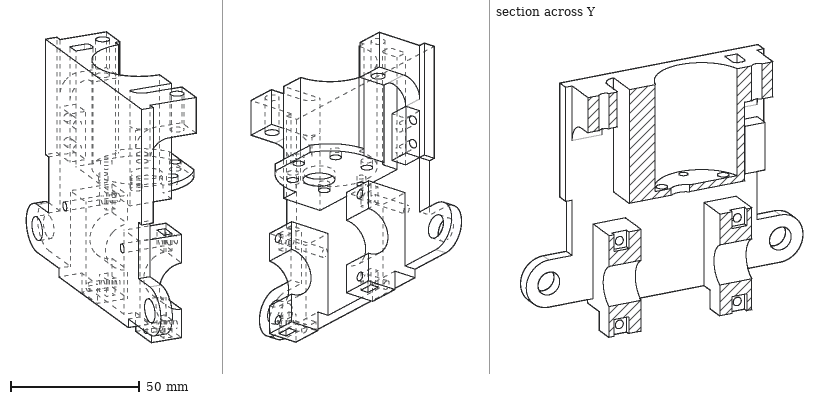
import cadquery as cq
import math

TOTAL_LENGTH = 121.3
TOTAL_HEIGHT = 102.7
PLATE_THICKNESS = 5.0
PLATE_BOTTOM_Z = 7.9
UPPER_PLATE_HALF_WIDTH = 43.4
BODY_HALF_WIDTH = 40.5
LOWER_HALF_WIDTH = 31.3
HOUSING_BOTTOM_Z = 54.7

EAR_RADIUS = 10.0
EAR_HOLE_DIAMETER = 9.5
AXIS_Z = 21.5
EAR_CENTER_X = TOTAL_LENGTH / 2 - EAR_RADIUS

LUG_INNER_X = 17.2
LUG_TOP_Z = 2 * AXIS_Z
MOUNT_FACE_Y = 23.0
FOOT_FRONT_Y = 10.0
BEARING_RADIUS = 9.6
SCREW_DIAMETER = 3.5
SCREW_X = 25.8
SCREW_OFFSET_Z = 17.6
NUT_WIDTH = 6.3
NUT_THICKNESS = 3.5
NUT_CENTER_Y = 18.3
NUT_POCKET_DEPTH = LUG_TOP_Z - AXIS_Z - SCREW_OFFSET_Z + NUT_WIDTH / 2

MOTOR_X = -6.9
MOTOR_RADIUS = 18.4
HOUSING_LEFT_X = -28.3
HOUSING_RIGHT_X = 22.3
FLANGE_RADIUS = 21.5
FLANGE_THICKNESS = 3.0
FLANGE_FLAT_Y = 41.5
SHAFT_HOLE_DIAMETER = 12.4
BOLT_CIRCLE_RADIUS = 15.5
FLANGE_HOLE_DIAMETER = 4.5

TAB_HEIGHT = 14.9
TAB_BACK_Y = 25.0
TAB_BOTTOM_Z = TOTAL_HEIGHT - TAB_HEIGHT
RIGHT_TAB_INNER_X = 27.5
TAB_GUSSET_RADIUS = 8.0
TAB_HOLE_DIAMETER = 5.5
TAB_HOLE_X = 33.5
TAB_HOLE_Y = 20.0
RIGHT_SLOT_RADIUS = 5.0

SWITCH_SLOT_LEFT_X = -31.7
SWITCH_SLOT_RIGHT_X = -26.3
SWITCH_SLOT_BACK_Y = 13.1
SWITCH_SLOT_RADIUS = 1.8
POST_BACK_Y = 11.8
POST_TOP_Z = 74.7
POST_HOLE_Y = 8.2
POST_HOLE_HEIGHTS = (59.7, 69.7)


def box(x_range, y_range, z_range):
    """Box spanning the given (low, high) ranges."""
    size = [high - low for low, high in (x_range, y_range, z_range)]
    corner = (x_range[0], y_range[0], z_range[0])
    return cq.Workplane("XY").box(*size, centered=False).translate(corner)


def cylinder_x(diameter, y, z, x_range):
    low, high = x_range
    return cq.Workplane("YZ", origin=(low, y, z)).circle(diameter / 2).extrude(high - low)


def cylinder_y(diameter, x, z, y_range):
    low, high = y_range
    return cq.Workplane("XZ", origin=(x, low, z)).circle(diameter / 2).extrude(low - high)


def cylinder_z(diameter, x, y, z_range):
    low, high = z_range
    return cq.Workplane("XY", origin=(x, y, low)).circle(diameter / 2).extrude(high - low)


def make_plate():
    thickness = (0, PLATE_THICKNESS)
    ear_heights = (AXIS_Z - EAR_RADIUS, AXIS_Z + EAR_RADIUS)
    upper_x = (-UPPER_PLATE_HALF_WIDTH, UPPER_PLATE_HALF_WIDTH)
    upper = box(upper_x, thickness, (HOUSING_BOTTOM_Z, TOTAL_HEIGHT))
    middle = box((-BODY_HALF_WIDTH, BODY_HALF_WIDTH), thickness, (AXIS_Z, HOUSING_BOTTOM_Z))
    lower = box((-LOWER_HALF_WIDTH, LOWER_HALF_WIDTH), thickness, (PLATE_BOTTOM_Z, AXIS_Z))
    ear_bar = box((-EAR_CENTER_X, EAR_CENTER_X), thickness, ear_heights)
    plate = upper.union(middle).union(lower).union(ear_bar)
    for x in (-EAR_CENTER_X, EAR_CENTER_X):
        plate = plate.union(cylinder_y(2 * EAR_RADIUS, x, AXIS_Z, thickness))
    for x in (-EAR_CENTER_X, EAR_CENTER_X):
        plate = plate.cut(cylinder_y(EAR_HOLE_DIAMETER, x, AXIS_Z, thickness))
    return plate


def make_lug(side):
    """Half-bearing lug; side is -1 for left and 1 for right."""
    x_range = sorted((side * LUG_INNER_X, side * LOWER_HALF_WIDTH))
    lug = box(x_range, (PLATE_THICKNESS, MOUNT_FACE_Y), (PLATE_BOTTOM_Z, LUG_TOP_Z))
    foot = box(x_range, (FOOT_FRONT_Y, MOUNT_FACE_Y), (0, PLATE_BOTTOM_Z))
    bearing = cylinder_x(2 * BEARING_RADIUS, MOUNT_FACE_Y, AXIS_Z, x_range)
    return lug.union(foot).cut(bearing)


def make_clamp_cutters(side):
    """Two clamp screw holes and their nut pockets, open at the ends of the lug."""
    x = side * SCREW_X
    nut_x = (x - NUT_WIDTH / 2, x + NUT_WIDTH / 2)
    nut_y = (NUT_CENTER_Y - NUT_THICKNESS / 2, NUT_CENTER_Y + NUT_THICKNESS / 2)
    cutters = box(nut_x, nut_y, (LUG_TOP_Z - NUT_POCKET_DEPTH, LUG_TOP_Z))
    cutters = cutters.union(box(nut_x, nut_y, (0, NUT_POCKET_DEPTH)))
    for z in (AXIS_Z - SCREW_OFFSET_Z, AXIS_Z + SCREW_OFFSET_Z):
        cutters = cutters.union(cylinder_y(SCREW_DIAMETER, x, z, (0, MOUNT_FACE_Y)))
    return cutters


def make_tab(x_range):
    """Top tab with a concave gusset running into the plate."""
    low, high = x_range
    gusset_y = PLATE_THICKNESS + TAB_GUSSET_RADIUS
    gusset_z = TAB_BOTTOM_Z - TAB_GUSSET_RADIUS
    arc_reach = TAB_GUSSET_RADIUS * math.sqrt(0.5)
    return (
        cq.Workplane("YZ", origin=(low, 0, 0))
        .moveTo(PLATE_THICKNESS, TOTAL_HEIGHT)
        .lineTo(TAB_BACK_Y, TOTAL_HEIGHT)
        .lineTo(TAB_BACK_Y, TAB_BOTTOM_Z)
        .lineTo(gusset_y, TAB_BOTTOM_Z)
        .threePointArc((gusset_y - arc_reach, gusset_z + arc_reach), (PLATE_THICKNESS, gusset_z))
        .close()
        .extrude(high - low)
    )


def make_right_tab():
    """Right tab with a concave corner where the slot beside it meets the plate."""
    tab = make_tab((RIGHT_TAB_INNER_X, BODY_HALF_WIDTH))
    corner_x = RIGHT_TAB_INNER_X - RIGHT_SLOT_RADIUS
    corner_y = PLATE_THICKNESS + RIGHT_SLOT_RADIUS
    tab_heights = (TAB_BOTTOM_Z, TOTAL_HEIGHT)
    corner = box((corner_x, RIGHT_TAB_INNER_X), (PLATE_THICKNESS, corner_y), tab_heights)
    corner = corner.cut(cylinder_z(2 * RIGHT_SLOT_RADIUS, corner_x, corner_y, tab_heights))
    return tab.union(corner)


def make_switch_slot():
    slot = box(
        (SWITCH_SLOT_LEFT_X, SWITCH_SLOT_RIGHT_X),
        (PLATE_THICKNESS, SWITCH_SLOT_BACK_Y),
        (HOUSING_BOTTOM_Z, TOTAL_HEIGHT),
    )
    return slot.edges("|Z and >Y").fillet(SWITCH_SLOT_RADIUS)


def make_switch_post():
    x_range = (-BODY_HALF_WIDTH, SWITCH_SLOT_LEFT_X)
    post = box(x_range, (PLATE_THICKNESS, POST_BACK_Y), (HOUSING_BOTTOM_Z, POST_TOP_Z))
    for z in POST_HOLE_HEIGHTS:
        post = post.cut(cylinder_x(SCREW_DIAMETER, POST_HOLE_Y, z, x_range))
    return post


def make_flange():
    """Round motor flange with a flat back, a shaft hole and a ring of six holes."""
    z_range = (HOUSING_BOTTOM_Z, HOUSING_BOTTOM_Z + FLANGE_THICKNESS)
    x_range = (MOTOR_X - FLANGE_RADIUS, MOTOR_X + FLANGE_RADIUS)
    outer = cylinder_z(2 * FLANGE_RADIUS, MOTOR_X, MOUNT_FACE_Y, z_range)
    outer = outer.intersect(box(x_range, (MOUNT_FACE_Y, FLANGE_FLAT_Y), z_range))
    cradle_floor = cylinder_z(2 * MOTOR_RADIUS, MOTOR_X, MOUNT_FACE_Y, z_range)
    cradle_floor = cradle_floor.intersect(box(x_range, (0, MOUNT_FACE_Y), z_range))
    flange = outer.union(cradle_floor)
    flange = flange.cut(cylinder_z(SHAFT_HOLE_DIAMETER, 0, MOUNT_FACE_Y, z_range))
    for angle in range(30, 390, 60):
        x = MOTOR_X + BOLT_CIRCLE_RADIUS * math.cos(math.radians(angle))
        y = MOUNT_FACE_Y + BOLT_CIRCLE_RADIUS * math.sin(math.radians(angle))
        diameter = SCREW_DIAMETER if angle == 270 else FLANGE_HOLE_DIAMETER
        flange = flange.cut(cylinder_z(diameter, x, y, z_range))
    return flange


def make_housing():
    """Motor block with the two top tabs and the switch post."""
    z_range = (HOUSING_BOTTOM_Z, TOTAL_HEIGHT)
    housing = box((HOUSING_LEFT_X, HOUSING_RIGHT_X), (PLATE_THICKNESS, MOUNT_FACE_Y), z_range)
    housing = housing.union(make_tab((-BODY_HALF_WIDTH, HOUSING_LEFT_X))).union(make_right_tab())
    housing = housing.cut(make_switch_slot())
    for x in (-TAB_HOLE_X, TAB_HOLE_X):
        housing = housing.cut(cylinder_z(TAB_HOLE_DIAMETER, x, TAB_HOLE_Y, z_range))
    return housing.union(make_switch_post())


def make_motor_bore():
    """Motor cradle, which also grazes the back of the plate."""
    return cylinder_z(2 * MOTOR_RADIUS, MOTOR_X, MOUNT_FACE_Y, (HOUSING_BOTTOM_Z, TOTAL_HEIGHT))


result = make_plate().union(make_housing()).cut(make_motor_bore()).union(make_flange())
for side in (-1, 1):
    result = result.union(make_lug(side)).cut(make_clamp_cutters(side))